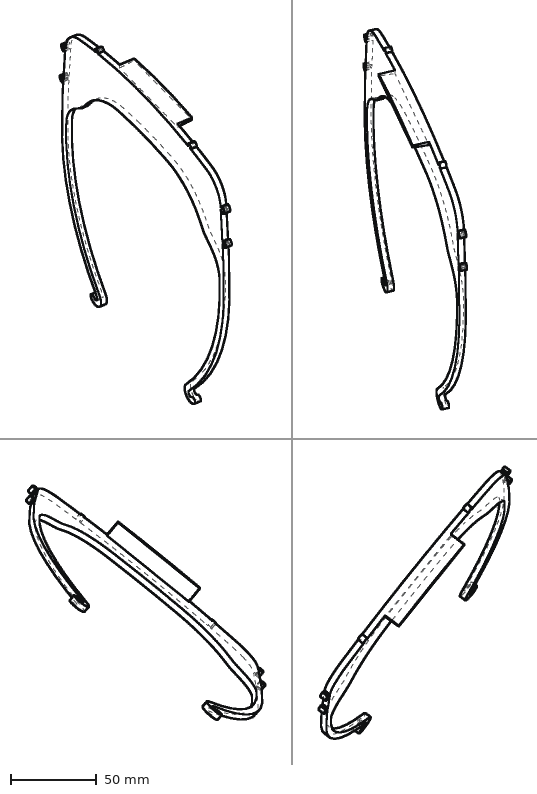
import cadquery as cq
import math

plate_depth = 4.0
shelf_depth = 14.0

height = 201.2
top_radius = 310.3
corner_radius = 19.7
corner_centre_x = -64.0

side_break = (-86.5, 138.9)
arm_outer_start = (-87.0, 118.1)

window_height = 170.2
window_radius = 282.3
window_corner_radius = 47.5
window_corner_x = -22.0
window_corner_end_angle = 145.0
notch = (-65.6, 142.3)
armpit_radius = 24.0
armpit_centre = (-58.5, 117.3)
armpit_start_angle = 130.0

arm_radius = 155.4
hook_outer_radius = 6.2
hook_inner_radius = 2.0
hook_centre = (-51.1, hook_outer_radius)
hook_start_angle = 41.0
hook_end_angle = -139.0

shelf_width = 62.4
shelf_thick_root = 4.2
shelf_thick_tip = 3.2

pegs = [
    ((-85.3, 174.5), 180.0, 2.6, 2.5),
    ((-87.1, 149.1), 184.0, 2.5, 2.2),
    ((-50.0, 197.5), 102.0, 2.0, 2.0),
]
neck_length = 2.5


def on_circle(centre, radius, angle):
    """Point on a circle at an angle in degrees from +X."""
    turn = math.radians(angle)
    return (centre[0] + radius * math.cos(turn), centre[1] + radius * math.sin(turn))


def angle_to(centre, point):
    """Angle in degrees of the direction from centre to point."""
    return math.degrees(math.atan2(point[1] - centre[1], point[0] - centre[0]))


def arc_middle(start, end, radius):
    """Middle of the minor arc from start to end that turns left."""
    chord = math.dist(start, end)
    sagitta = radius - math.sqrt(radius**2 - (chord / 2) ** 2)
    dx = (end[0] - start[0]) / chord
    dz = (end[1] - start[1]) / chord
    return (
        (start[0] + end[0]) / 2 + dz * sagitta,
        (start[1] + end[1]) / 2 - dx * sagitta,
    )


def extrude_back(sketch, depth):
    """Extrude a closed XZ outline from the front face toward +Y."""
    return sketch.extrude(-depth)


def mirrored(half):
    """Join a left-hand body with its mirror image."""
    return half.union(half.mirror("YZ"))


top_centre = (0.0, height - top_radius)
corner_reach = top_radius - corner_radius
corner_centre = (
    corner_centre_x,
    top_centre[1] + math.sqrt(corner_reach**2 - corner_centre_x**2),
)
window_centre = (0.0, window_height - window_radius)
window_reach = window_radius - window_corner_radius
window_corner_centre = (
    window_corner_x,
    window_centre[1] + math.sqrt(window_reach**2 - window_corner_x**2),
)


def side_tangent_angle():
    """Angle on the corner arc where its tangent passes through the side break."""
    distance = math.dist(corner_centre, side_break)
    to_break = angle_to(corner_centre, side_break) % 360
    return to_break - math.degrees(math.acos(corner_radius / distance))


def half_frame():
    """Left half of the plate with its arm and hook, as deep as the shelf."""
    top_blend_angle = angle_to(top_centre, corner_centre)
    top_blend = on_circle(top_centre, top_radius, top_blend_angle)
    corner_end_angle = side_tangent_angle()
    corner_end = on_circle(corner_centre, corner_radius, corner_end_angle)
    corner_middle = on_circle(corner_centre, corner_radius, (top_blend_angle + corner_end_angle) / 2)

    arm_outer_end = on_circle(hook_centre, hook_inner_radius, hook_start_angle)
    arm_inner_end = on_circle(hook_centre, hook_outer_radius, hook_start_angle)
    arm_inner_start = on_circle(armpit_centre, armpit_radius, 180)

    hook_middle_angle = (hook_start_angle + hook_end_angle) / 2
    hook_inner_end = on_circle(hook_centre, hook_inner_radius, hook_end_angle)
    hook_outer_end = on_circle(hook_centre, hook_outer_radius, hook_end_angle)
    tip_radius = (hook_outer_radius - hook_inner_radius) / 2
    tip_centre = on_circle(hook_centre, hook_inner_radius + tip_radius, hook_end_angle)
    tip = on_circle(tip_centre, tip_radius, hook_end_angle - 90)

    armpit_end = on_circle(armpit_centre, armpit_radius, armpit_start_angle)
    armpit_middle = on_circle(armpit_centre, armpit_radius, (180 + armpit_start_angle) / 2)

    window_blend_angle = angle_to(window_centre, window_corner_centre)
    window_blend = on_circle(window_centre, window_radius, window_blend_angle)
    window_corner_start = on_circle(window_corner_centre, window_corner_radius, window_corner_end_angle)
    window_corner_middle = on_circle(
        window_corner_centre, window_corner_radius, (window_corner_end_angle + window_blend_angle) / 2
    )

    outline = (
        cq.Workplane("XZ")
        .moveTo(0, height)
        .threePointArc(on_circle(top_centre, top_radius, (90 + top_blend_angle) / 2), top_blend)
        .threePointArc(corner_middle, corner_end)
        .lineTo(*side_break)
        .lineTo(*arm_outer_start)
        .threePointArc(arc_middle(arm_outer_start, arm_outer_end, arm_radius), arm_outer_end)
        .threePointArc(on_circle(hook_centre, hook_inner_radius, hook_middle_angle), hook_inner_end)
        .threePointArc(tip, hook_outer_end)
        .threePointArc(on_circle(hook_centre, hook_outer_radius, hook_middle_angle), arm_inner_end)
        .threePointArc(arc_middle(arm_inner_start, arm_inner_end, arm_radius), arm_inner_start)
        .threePointArc(armpit_middle, armpit_end)
        .lineTo(*notch)
        .lineTo(*window_corner_start)
        .threePointArc(window_corner_middle, window_blend)
        .threePointArc(
            on_circle(window_centre, window_radius, (90 + window_blend_angle) / 2), (0, window_height)
        )
        .close()
    )
    return extrude_back(outline, shelf_depth)


def depth_envelope():
    """Space the frame fills: the plate layer plus a tapered shelf behind its top edge."""
    plate_layer = cq.Workplane("XY").box(2 * height, plate_depth, 2 * height, centered=(True, False, True))
    shelf_wedge = (
        cq.Workplane("YZ")
        .polyline([
            (0, height),
            (shelf_depth, height),
            (shelf_depth, height - shelf_thick_tip),
            (plate_depth, height - shelf_thick_root),
            (0, height - shelf_thick_root),
        ])
        .close()
        .extrude(shelf_width / 2, both=True)
    )
    return plate_layer.union(shelf_wedge)


def peg(base, angle, head_radius, neck_width):
    """Half-round head on a short neck that runs into the edge of the plate."""
    head = (
        cq.Workplane("XZ")
        .moveTo(0, -head_radius)
        .threePointArc((head_radius, 0), (0, head_radius))
        .close()
    )
    neck = cq.Workplane("XZ").center(-neck_length / 2, 0).rect(neck_length, neck_width)
    body = extrude_back(head, plate_depth).union(extrude_back(neck, plate_depth))
    return body.rotate((0, 0, 0), (0, -1, 0), angle).translate((base[0], 0, base[1]))


result = mirrored(half_frame()).intersect(depth_envelope())
for base, angle, head_radius, neck_width in pegs:
    left_peg = peg(base, angle, head_radius, neck_width)
    result = result.union(left_peg).union(left_peg.mirror("YZ"))